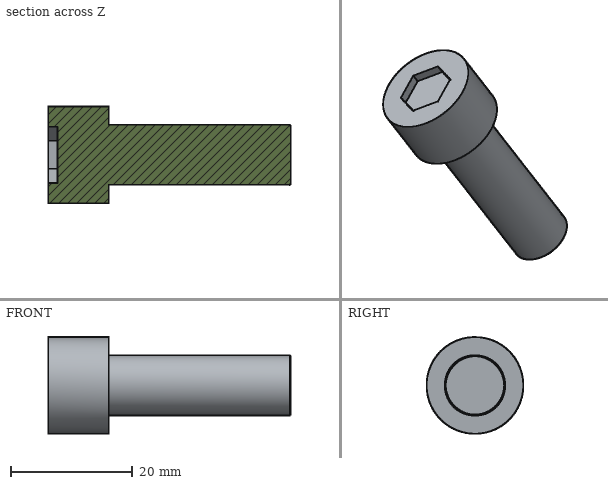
import cadquery as cq
import math

total_length = 40.0
shank_diameter = 10.0
head_diameter = 16.0
head_length = shank_diameter
tip_chamfer = 0.2

socket_across_flats = head_diameter / 2
socket_depth = 1.5
socket_across_corners = socket_across_flats / math.cos(math.pi / 6)


def make_shank():
    shank = cq.Workplane("YZ").circle(shank_diameter / 2).extrude(total_length)
    return shank.faces(">X").chamfer(tip_chamfer)


def make_head():
    return cq.Workplane("YZ").circle(head_diameter / 2).extrude(head_length)


def make_socket():
    return cq.Workplane("YZ").polygon(6, socket_across_corners).extrude(socket_depth)


result = make_head().union(make_shank()).cut(make_socket())